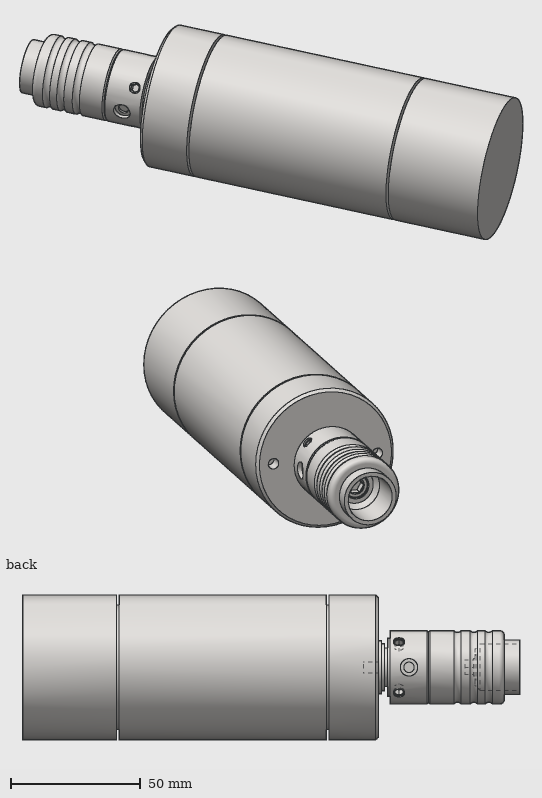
import cadquery as cq
import math


overall_length = 191.7
body_dia = 56.0
body_start = 54.5
body_chamfer = 1.2
body_groove_dia = 48.1
body_groove_width = 1.0
body_groove_starts = (73.6, 154.5)

nose_dia = 21.0
sleeve_dia = 28.4
sleeve_start = 6.0
sleeve_end = 50.0
sleeve_edge_radius = 2.0

grip_groove_dia = 27.0
grip_groove_width = 2.9
grip_groove_starts = (10.5, 16.3, 22.6)
parting_groove_dia = 27.2
parting_groove_width = 1.2
parting_groove_start = 34.7

neck_steps = ((22.5, 51.0), (15.0, 52.1), (18.2, 53.3), (20.5, body_start))

bore_dia = 17.8
bore_depth = 15.3
bore_cone_dia = 14.0
bore_cone_length = 2.0
screw_rim_dia = 10.0
screw_head_dia = 9.0
screw_rim_height = 0.8
socket_mouth_dia = 6.7
socket_mouth_depth = 0.5
socket_corner_dia = 6.5
socket_depth = 3.8

side_hole_x = 42.7
side_hole_dia = 6.7
side_hole_depth = 2.0
side_pilot_dia = 4.0
side_pilot_depth = 2.9

set_screw_x = 46.5
set_screw_dia = 4.2
set_screw_recess = 0.8
set_screw_corner_dia = 3.5
set_screw_socket_depth = 3.5

pin_hole_dia = 4.2
pin_hole_offset = 21.0
pin_hole_depth = 5.8


def cylinder(diameter, start, end):
    return cq.Workplane("YZ", origin=(start, 0, 0)).circle(diameter / 2).extrude(end - start)


def ring(outer_dia, inner_dia, start, width):
    return cylinder(outer_dia, start, start + width).cut(cylinder(inner_dia, start, start + width))


def grip_groove(start):
    """Ring whose cross-section is a shallow circular segment."""
    rim = sleeve_dia / 2
    end = start + grip_groove_width
    floor_point = (start + grip_groove_width / 2, grip_groove_dia / 2)
    profile = cq.Workplane("XY").moveTo(start, rim).threePointArc(floor_point, (end, rim)).close()
    return profile.revolve(360, (0, 0, 0), (1, 0, 0))


def parting_groove():
    """Ring with a V-shaped cross-section, cut around the sleeve."""
    rim = sleeve_dia / 2
    end = parting_groove_start + parting_groove_width
    root = (parting_groove_start + parting_groove_width / 2, parting_groove_dia / 2)
    profile = cq.Workplane("XY").polyline([(parting_groove_start, rim), root, (end, rim)]).close()
    return profile.revolve(360, (0, 0, 0), (1, 0, 0))


def radial_plane(x, angle, depth):
    """Plane facing outward, depth below the sleeve surface; angle is measured from +Y towards +Z."""
    outward = cq.Vector(0, math.cos(math.radians(angle)), math.sin(math.radians(angle)))
    origin = cq.Vector(x, 0, 0) + outward * (sleeve_dia / 2 - depth)
    return cq.Plane(origin=origin, xDir=outward.cross(cq.Vector(1, 0, 0)), normal=outward)


def radial_hole(x, angle, diameter, depth):
    return cq.Workplane(radial_plane(x, angle, depth)).circle(diameter / 2).extrude(2 * depth)


def hexagon_socket(x, angle, corner_dia, depth):
    return cq.Workplane(radial_plane(x, angle, depth)).polygon(6, corner_dia).extrude(depth)


body = cylinder(body_dia, body_start, overall_length).faces("<X").chamfer(body_chamfer)
for groove_start in body_groove_starts:
    body = body.cut(ring(body_dia, body_groove_dia, groove_start, body_groove_width))
for side in (-1, 1):
    pin_hole = cylinder(pin_hole_dia, body_start, body_start + pin_hole_depth)
    body = body.cut(pin_hole.translate((0, side * pin_hole_offset, 0)))

sleeve = cylinder(sleeve_dia, sleeve_start, sleeve_end).faces("<X").edges().fillet(sleeve_edge_radius)
for groove_start in grip_groove_starts:
    sleeve = sleeve.cut(grip_groove(groove_start))
sleeve = sleeve.cut(parting_groove())

for angle in (0, 180):
    sleeve = sleeve.cut(radial_hole(side_hole_x, angle, side_hole_dia, side_hole_depth))
    sleeve = sleeve.cut(radial_hole(side_hole_x, angle, side_pilot_dia, side_pilot_depth))

for angle in (45, 135, 225, 315):
    sleeve = sleeve.cut(radial_hole(set_screw_x, angle, set_screw_dia, set_screw_recess))
    sleeve = sleeve.cut(hexagon_socket(set_screw_x, angle, set_screw_corner_dia, set_screw_socket_depth))

neck = cq.Workplane("YZ")
step_start = sleeve_end
for step_dia, step_end in neck_steps:
    neck = neck.add(cylinder(step_dia, step_start, step_end))
    step_start = step_end
neck = neck.combine()

nose = cylinder(nose_dia, 0, sleeve_start)
floor_x = bore_depth + bore_cone_length
bore_profile = [
    (0, 0),
    (0, bore_dia / 2),
    (bore_depth, bore_dia / 2),
    (floor_x, bore_cone_dia / 2),
    (floor_x, 0),
]
bore = cq.Workplane("XY").polyline(bore_profile).close().revolve(360, (0, 0, 0), (1, 0, 0))
screw_rim = ring(screw_rim_dia, screw_head_dia, floor_x - screw_rim_height, screw_rim_height)
bore = bore.cut(screw_rim)
socket_mouth = cylinder(socket_mouth_dia, floor_x, floor_x + socket_mouth_depth)
socket = cq.Workplane("YZ", origin=(floor_x, 0, 0)).polygon(6, socket_corner_dia).extrude(socket_depth)

result = body.union(neck).union(sleeve).union(nose).cut(bore).cut(socket_mouth).cut(socket)